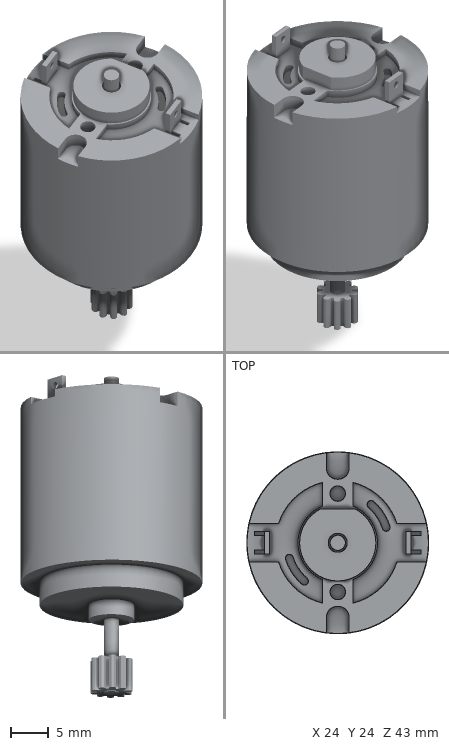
import cadquery as cq
import math


can_diameter = 24.0
can_height = 22.0
lower_step_diameter = 19.0
lower_step_height = 3.0
lower_collar_diameter = 6.0
lower_collar_height = 2.0

shaft_diameter = 2.0
shaft_top_length = 2.0
bare_shaft_length = 5.45
pinion_height = 4.45
shaft_tip_length = 0.1
tooth_count = 10
first_tooth_angle = 18
tooth_tip_radius = 2.8
tooth_shoulder_radius = 2.5
tooth_root_radius = 1.95
tooth_width = 0.9
tooth_tip_width = 0.4

cap_height = 1.98
recess_depth = cap_height / 2
recess_diameter = 16.43
inner_ring_diameter = 10.5
bridge_width = 4.0
terminal_channel_width = 5.05
notch_width = 3.0
notch_reach = 8.4
cap_hole_diameter = 2.0
cap_hole_offset = 6.5

vent_radius = 6.7
vent_width = 1.05
vent_start_angle = 17.7
vent_end_angle = 49.0

disc_diameter = 10.05
disc_height = 1.98
disc_flat_offset = 4.47
shaft_clearance_diameter = 2.5

terminal_inner_x = 9.0
terminal_thickness = 0.7
terminal_width = 3.0
terminal_rise = 2.5
terminal_hole_diameter = 1.05
terminal_hole_drop = 1.15
terminal_slot_length = 1.35
terminal_slot_width = 0.55

cap_top = can_height + cap_height
recess_floor = cap_top - recess_depth
disc_top = cap_top + disc_height
shaft_top = disc_top + shaft_top_length
collar_bottom = -lower_step_height - lower_collar_height
pinion_top = collar_bottom - bare_shaft_length
pinion_bottom = pinion_top - pinion_height
shaft_bottom = pinion_bottom - shaft_tip_length


def cylinder(diameter, bottom, top):
    return cq.Workplane("XY").workplane(offset=bottom).circle(diameter / 2).extrude(top - bottom)


def block(x_range, y_range, z_range):
    lows, highs = zip(x_range, y_range, z_range)
    sizes = [high - low for low, high in zip(lows, highs)]
    return cq.Workplane("XY").box(*sizes, centered=False).translate(lows)


def centred_range(width, centre=0):
    return (centre - width / 2, centre + width / 2)


def half_turn(shape):
    return shape.rotate((0, 0, 0), (0, 0, 1), 180)


def both_sides(shape):
    """Return the shape together with its copy half a turn about Z."""
    return shape.union(half_turn(shape))


def body():
    """Can and cap as one cylinder, with the two steps below it."""
    can = cylinder(can_diameter, 0, cap_top)
    step = cylinder(lower_step_diameter, -lower_step_height, 0)
    collar = cylinder(lower_collar_diameter, collar_bottom, -lower_step_height)
    return can.union(step).union(collar)


def cap_recess():
    """Ring-shaped recess interrupted by two bridges, with a channel out to each terminal side."""
    ring = cylinder(recess_diameter, recess_floor, cap_top)
    channel = block(
        centred_range(can_diameter),
        centred_range(terminal_channel_width),
        (recess_floor, cap_top),
    )
    bridges = block(
        centred_range(bridge_width),
        centred_range(can_diameter),
        (recess_floor, cap_top),
    )
    centre = cylinder(inner_ring_diameter, recess_floor, cap_top)
    return ring.union(channel).cut(bridges).cut(centre)


def rim_notches():
    """Round-ended notches through the cap at the +Y and -Y rim."""
    round_centre = notch_reach + notch_width / 2
    straight = block(
        centred_range(notch_width),
        (round_centre, can_diameter / 2),
        (can_height, cap_top),
    )
    round_end = cylinder(notch_width, can_height, cap_top).translate((0, round_centre, 0))
    return both_sides(straight.union(round_end))


def cap_holes():
    hole = cylinder(cap_hole_diameter, can_height, cap_top)
    return both_sides(hole.translate((0, cap_hole_offset, 0)))


def vents():
    """Curved slots with round ends, cut from the recess floor down to the can."""
    middle_angle = (vent_start_angle + vent_end_angle) / 2

    def polar(radius, angle):
        return (radius * math.cos(math.radians(angle)), radius * math.sin(math.radians(angle)))

    inner = vent_radius - vent_width / 2
    outer = vent_radius + vent_width / 2
    end_bulge = math.degrees(vent_width / 2 / vent_radius)
    vent = (
        cq.Workplane("XY")
        .workplane(offset=can_height)
        .moveTo(*polar(inner, vent_start_angle))
        .threePointArc(polar(vent_radius, vent_start_angle - end_bulge), polar(outer, vent_start_angle))
        .threePointArc(polar(outer, middle_angle), polar(outer, vent_end_angle))
        .threePointArc(polar(vent_radius, vent_end_angle + end_bulge), polar(inner, vent_end_angle))
        .threePointArc(polar(inner, middle_angle), polar(inner, vent_start_angle))
        .close()
        .extrude(recess_floor - can_height)
    )
    return both_sides(vent)


def terminal_slots():
    """Pair of narrow slots in the channel floor, running outward from each terminal."""
    slot_start = terminal_inner_x + terminal_thickness
    slot_offset = (terminal_width - terminal_slot_width) / 2
    slots = cq.Workplane("XY")
    for centre_y in (-slot_offset, slot_offset):
        slot = block(
            (slot_start, slot_start + terminal_slot_length),
            centred_range(terminal_slot_width, centre_y),
            (can_height, recess_floor),
        )
        slots = slots.add(both_sides(slot))
    return slots.combine()


def terminals():
    """Upright tabs on the +X and -X sides, each with a small hole."""
    tab_top = cap_top + terminal_rise
    tab = block(
        (terminal_inner_x, terminal_inner_x + terminal_thickness),
        centred_range(terminal_width),
        (recess_floor, tab_top),
    )
    hole = (
        cq.Workplane("YZ")
        .workplane(offset=terminal_inner_x)
        .center(0, tab_top - terminal_hole_drop)
        .circle(terminal_hole_diameter / 2)
        .extrude(terminal_thickness)
    )
    return both_sides(tab.cut(hole))


def bearing_disc():
    """Disc on the cap with a flat on the +Y side and a clearance bore around the shaft."""
    disc = cylinder(disc_diameter, cap_top, disc_top)
    beyond_flat = block(
        centred_range(disc_diameter),
        (disc_flat_offset, disc_diameter),
        (cap_top, disc_top),
    )
    bore = cylinder(shaft_clearance_diameter, cap_top, disc_top)
    return disc.cut(beyond_flat).cut(bore)


def pinion():
    """Straight-toothed pinion; each tooth is parallel-sided with a tapered tip."""
    gear = cylinder(2 * tooth_root_radius, pinion_bottom, pinion_top)
    tooth = (
        cq.Workplane("XY")
        .workplane(offset=pinion_bottom)
        .moveTo(0, -tooth_width / 2)
        .lineTo(tooth_shoulder_radius, -tooth_width / 2)
        .lineTo(tooth_tip_radius, -tooth_tip_width / 2)
        .lineTo(tooth_tip_radius, tooth_tip_width / 2)
        .lineTo(tooth_shoulder_radius, tooth_width / 2)
        .lineTo(0, tooth_width / 2)
        .close()
        .extrude(pinion_height)
    )
    for index in range(tooth_count):
        angle = first_tooth_angle + index * 360 / tooth_count
        gear = gear.union(tooth.rotate((0, 0, 0), (0, 0, 1), angle))
    return gear


motor = body()
for cutter in (cap_recess(), rim_notches(), cap_holes(), vents(), terminal_slots()):
    motor = motor.cut(cutter)

shaft = cylinder(shaft_diameter, shaft_bottom, shaft_top)
for addition in (bearing_disc(), terminals(), shaft, pinion()):
    motor = motor.union(addition)

result = motor